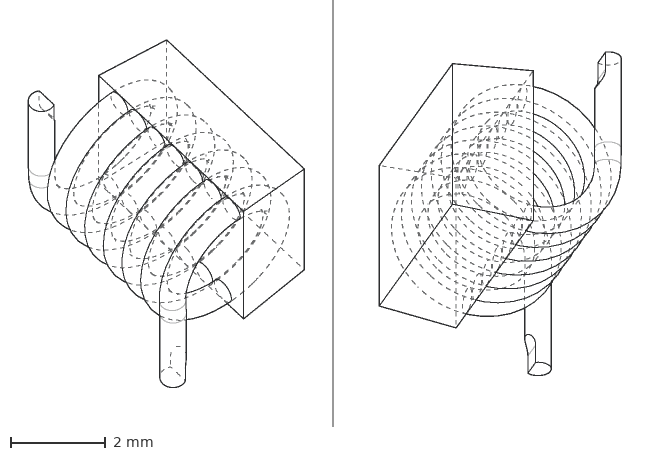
import cadquery as cq
import math

WIRE_DIAMETER = 0.565
COIL_OUTER_RADIUS = 1.835
COIL_TURNS = 7
COIL_LENGTH = 4.295

LEAD_SPAN = 4.88
LEAD_END_Z = 2.605
TRANSITION_LENGTH = 0.4
FLAT_DEPTH = 0.14
FLAT_LENGTH = 0.755
FLAT_RUNOUT_RADIUS = 0.47

BLOCK_FRONT_Y = 0.205
BLOCK_BACK_Y = 1.975
BLOCK_FRONT_WIDTH = 4.76
BLOCK_BACK_WIDTH = 4.52
BLOCK_FRONT_HEIGHT = 3.67
BLOCK_BACK_HEIGHT = 3.44

wire_radius = WIRE_DIAMETER / 2
lead_x = LEAD_SPAN / 2 - wire_radius
coil_radius = COIL_OUTER_RADIUS - wire_radius
coil_pitch = COIL_LENGTH / COIL_TURNS
coil_advance = coil_pitch / (2 * math.pi)
coil_start = cq.Vector(-COIL_LENGTH / 2, -coil_radius, 0)
coil_tangent = cq.Vector(coil_advance, 0, -coil_radius)


def make_coil():
    """Round wire swept along a right-handed helix, starting at the front and heading down."""
    axis = cq.Plane(origin=(coil_start.x, 0, 0), xDir=(0, -1, 0), normal=(1, 0, 0))
    helix = cq.Wire.makeHelix(coil_pitch, COIL_LENGTH, coil_radius).moved(cq.Location(axis))
    profile = cq.Workplane(cq.Plane(coil_start, (0, 1, 0), coil_tangent)).circle(wire_radius)
    return profile.sweep(cq.Workplane(obj=helix), isFrenet=True)


def make_flat_cutter():
    """Cutter for the flat at the tip of the upper lead, with a concave run-out."""
    inward_y = -COIL_OUTER_RADIUS + WIRE_DIAMETER
    flat_y = inward_y - FLAT_DEPTH
    arc_centre_y = flat_y + FLAT_RUNOUT_RADIUS
    arc_run = math.sqrt(FLAT_RUNOUT_RADIUS**2 - (arc_centre_y - inward_y) ** 2)
    arc_start_z = LEAD_END_Z - FLAT_LENGTH + arc_run
    arc_end = (arc_centre_y, arc_start_z - FLAT_RUNOUT_RADIUS)
    diagonal = FLAT_RUNOUT_RADIUS * math.sqrt(0.5)
    arc_middle = (arc_centre_y - diagonal, arc_start_z - diagonal)
    return (
        cq.Workplane("YZ", origin=(-lead_x, 0, 0))
        .moveTo(flat_y, LEAD_END_Z)
        .lineTo(flat_y, arc_start_z)
        .threePointArc(arc_middle, arc_end)
        .lineTo(arc_centre_y, LEAD_END_Z)
        .close()
        .extrude(wire_radius, both=True)
    )


def make_upper_lead():
    """Straight upper lead with its tip flat and the joint to the coil."""
    lead_base = cq.Vector(-lead_x, -coil_radius, TRANSITION_LENGTH)
    straight = (
        cq.Workplane("XY", origin=lead_base.toTuple())
        .circle(wire_radius)
        .extrude(LEAD_END_Z - TRANSITION_LENGTH)
    )
    lead_end = cq.Wire.makeCircle(wire_radius, lead_base, cq.Vector(0, 0, -1))
    coil_end = cq.Wire.makeCircle(wire_radius, coil_start, coil_tangent)
    joint = cq.Workplane(obj=cq.Solid.makeLoft([lead_end, coil_end]))
    return straight.cut(make_flat_cutter()).union(joint)


def make_winding():
    """One continuous wire: coil plus the two leads, alike under a half turn about Y."""
    upper_lead = make_upper_lead()
    lower_lead = upper_lead.rotate((0, 0, 0), (0, 1, 0), 180)
    return make_coil().union(upper_lead).union(lower_lead)


def make_block(winding):
    """Tapered block with a channel that fits the embedded part of the coil."""
    block = (
        cq.Workplane("XZ", origin=(0, BLOCK_FRONT_Y, 0))
        .rect(BLOCK_FRONT_WIDTH, BLOCK_FRONT_HEIGHT)
        .workplane(offset=BLOCK_FRONT_Y - BLOCK_BACK_Y)
        .rect(BLOCK_BACK_WIDTH, BLOCK_BACK_HEIGHT)
        .loft(ruled=True)
    )
    return block.cut(winding)


winding = make_winding()
block = make_block(winding)

result = cq.Compound.makeCompound([block.solids().val(), winding.solids().val()])